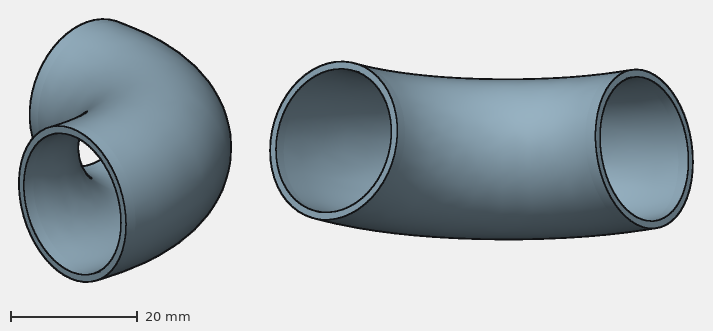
import cadquery as cq

overall_length = 47.7
outer_diameter = 25.4
inner_diameter = 23.0
collar_length = 2.0
bend_angle = 90.0

bend_radius = overall_length - collar_length - outer_diameter / 2


def ring(plane):
    """Pipe cross-section sketched on the given plane."""
    return cq.Workplane(plane).circle(outer_diameter / 2).circle(inner_diameter / 2)


front_joint = cq.Plane(origin=(bend_radius, 0, 0), xDir=(1, 0, 0), normal=(0, -1, 0))
left_joint = cq.Plane(origin=(0, bend_radius, 0), xDir=(0, 1, 0), normal=(-1, 0, 0))

bend = ring(front_joint).revolve(bend_angle, (-bend_radius, 0), (-bend_radius, 1))

front_collar = ring(front_joint).extrude(collar_length)
left_collar = ring(left_joint).extrude(collar_length)

result = bend.union(front_collar).union(left_collar)